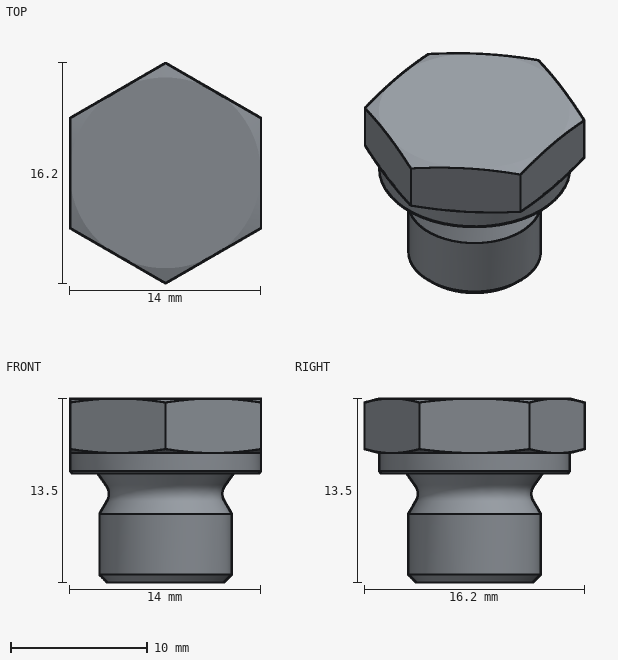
import cadquery as cq
import math

CORNER_DIAMETER = 16.17
CORNER_RADIUS = CORNER_DIAMETER / 2
FLAT_RADIUS = CORNER_RADIUS * math.cos(math.radians(30))
HEAD_HEIGHT = 4.0
HEAD_CHAMFER_ANGLE = 15.0

COLLAR_HEIGHT = 1.5
COLLAR_CHAMFER_HEIGHT = 0.2
COLLAR_CHAMFER_WIDTH = 0.15

TOTAL_HEIGHT = 13.5
SHANK_RADIUS = 9.73 / 2
SHANK_TOP = 5.05
SHANK_CHAMFER = 0.6
WAIST_RADIUS = 4.17
WAIST_FILLET = 1.0
LOWER_CONE_ANGLE = 30.0
UPPER_CONE_ANGLE = 35.0

HEAD_BOTTOM = TOTAL_HEIGHT - HEAD_HEIGHT
COLLAR_BOTTOM = HEAD_BOTTOM - COLLAR_HEIGHT


def make_head():
    """Hexagonal prism with conical chamfers on the corners at both ends."""
    hexagon = (
        cq.Workplane("XY", origin=(0, 0, HEAD_BOTTOM))
        .polygon(6, CORNER_DIAMETER)
        .extrude(HEAD_HEIGHT)
        .rotate((0, 0, 0), (0, 0, 1), 30)
    )
    trim_radius = CORNER_RADIUS + 0.16
    trim_drop = (trim_radius - FLAT_RADIUS) * math.tan(math.radians(HEAD_CHAMFER_ANGLE))
    envelope = (
        cq.Workplane("XZ")
        .moveTo(0, HEAD_BOTTOM)
        .lineTo(FLAT_RADIUS, HEAD_BOTTOM)
        .lineTo(trim_radius, HEAD_BOTTOM + trim_drop)
        .lineTo(trim_radius, TOTAL_HEIGHT - trim_drop)
        .lineTo(FLAT_RADIUS, TOTAL_HEIGHT)
        .lineTo(0, TOTAL_HEIGHT)
        .close()
        .revolve(360, (0, 0), (0, 1))
    )
    return hexagon.intersect(envelope)


def make_turned_body():
    """Shank, waisted neck and collar, revolved about the Z axis."""
    lower = math.radians(LOWER_CONE_ANGLE)
    upper = math.radians(UPPER_CONE_ANGLE)

    arc_center_radius = WAIST_RADIUS + WAIST_FILLET
    lower_tangent_radius = arc_center_radius - WAIST_FILLET * math.cos(lower)
    upper_tangent_radius = arc_center_radius - WAIST_FILLET * math.cos(upper)
    lower_tangent_z = SHANK_TOP + (SHANK_RADIUS - lower_tangent_radius) / math.tan(lower)
    waist_z = lower_tangent_z + WAIST_FILLET * math.sin(lower)
    upper_tangent_z = waist_z + WAIST_FILLET * math.sin(upper)
    neck_top_radius = upper_tangent_radius + (COLLAR_BOTTOM - upper_tangent_z) * math.tan(upper)

    return (
        cq.Workplane("XZ")
        .moveTo(0, 0)
        .lineTo(SHANK_RADIUS - SHANK_CHAMFER, 0)
        .lineTo(SHANK_RADIUS, SHANK_CHAMFER)
        .lineTo(SHANK_RADIUS, SHANK_TOP)
        .lineTo(lower_tangent_radius, lower_tangent_z)
        .threePointArc((WAIST_RADIUS, waist_z), (upper_tangent_radius, upper_tangent_z))
        .lineTo(neck_top_radius, COLLAR_BOTTOM)
        .lineTo(FLAT_RADIUS - COLLAR_CHAMFER_WIDTH, COLLAR_BOTTOM)
        .lineTo(FLAT_RADIUS, COLLAR_BOTTOM + COLLAR_CHAMFER_HEIGHT)
        .lineTo(FLAT_RADIUS, HEAD_BOTTOM)
        .lineTo(0, HEAD_BOTTOM)
        .close()
        .revolve(360, (0, 0), (0, 1))
    )


result = make_turned_body().union(make_head())